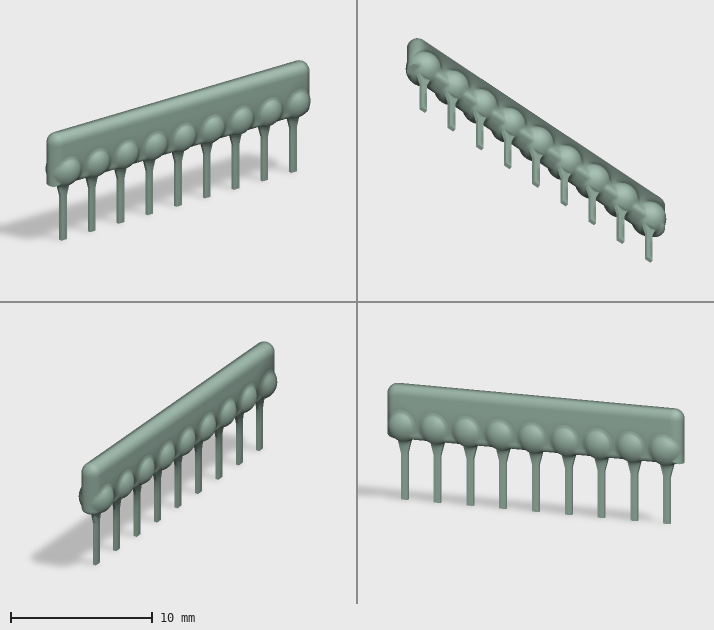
import cadquery as cq
body_length = 22.8
body_thickness = 1.48
body_height = 3.9
bottom_radius = 0.36
end_radius = body_thickness / 2
straight_height = body_height - end_radius

bead_count = 9
pitch = 2.53
bead_diameter = 2.49
bead_radius = bead_diameter / 2
bead_height = body_height - 2.92
blend_radius = 0.4

pin_width = 0.5
pin_thickness = 0.25
pin_tip_drop = 4.47
shoulder_width = 1.1
shoulder_drop = 1.1

first_bead_y = -pitch * (bead_count - 1) / 2
bead_positions = [first_bead_y + i * pitch for i in range(bead_count)]


def make_slab():
    """Square-edged bar with full-round ends, as tall as the straight part of the body."""
    return cq.Workplane("XY").slot2D(body_length, body_thickness, 90).extrude(straight_height)


def make_body(slab):
    """Bar with a rounded bottom rim and a full-round top rail that ends in ball caps."""
    rail_length = body_length - body_thickness
    rail = (
        cq.Workplane("XZ")
        .circle(end_radius)
        .extrude(rail_length / 2, both=True)
        .translate((0, 0, straight_height))
    )
    body = slab.faces("<Z").edges().fillet(bottom_radius).union(rail)
    for end_y in (-rail_length / 2, rail_length / 2):
        cap = cq.Workplane("XY").sphere(end_radius).translate((0, end_y, straight_height))
        body = body.union(cap)
    return body


def add_beads(body):
    """Beads joined to the bar with a concave blend."""
    bead = cq.Workplane("XZ").sphere(bead_radius)
    for y in bead_positions:
        body = body.union(bead.translate((0, y, bead_height)))
    lower_half = cq.selectors.BoxSelector(
        (-body_thickness, -body_length, -bead_radius),
        (body_thickness, body_length, body_height / 2),
    )
    bead_joints = body.faces("%SPHERE").faces(lower_half).edges()
    return bead_joints.fillet(blend_radius)


def make_corner(slab):
    """Lower corner at the -Y end, where only the long bottom edges are rounded."""
    corner_length = body_length / 2 + first_bead_y
    rail = (
        cq.Workplane("XY")
        .box(body_thickness, corner_length, bead_height, centered=(True, False, False))
        .edges("|Y and <Z")
        .fillet(bottom_radius)
        .translate((0, -body_length / 2, 0))
    )
    return slab.intersect(rail)


def make_pin():
    """Flat pin with a tapered shoulder, centred on Y = 0."""
    half_width = pin_width / 2
    half_shoulder = shoulder_width / 2
    outline = [
        (-half_shoulder, bead_height),
        (-half_shoulder, 0),
        (-half_width, -shoulder_drop),
        (-half_width, -pin_tip_drop),
        (half_width, -pin_tip_drop),
        (half_width, -shoulder_drop),
        (half_shoulder, 0),
        (half_shoulder, bead_height),
    ]
    return cq.Workplane("YZ").polyline(outline).close().extrude(pin_thickness / 2, both=True)


slab = make_slab()
result = add_beads(make_body(slab)).union(make_corner(slab))

pin = make_pin()
for y in bead_positions:
    result = result.union(pin.translate((0, y, 0)))